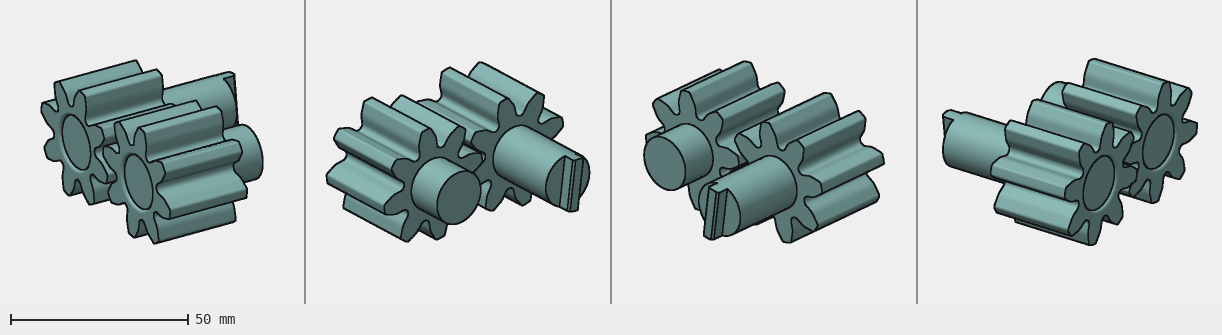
import cadquery as cq
import math

TEETH = 8
TOOTH_PITCH = 360 / TEETH
TIP_RADIUS = 18.0
ROOT_RADIUS = 10.9
BASE_HALF_THICKNESS = 3.2
SHOULDER_DISTANCE = 14.25
TIP_HALF_THICKNESS = 1.6
SHOULDER_ROUND = 4.45
TIP_ROUND = 0.85

GEAR_WIDTH = 25.6
SHAFT_RADIUS = 8.0
BORE_ROUND = 1.0
AXIS_SPACING_X = 31.0
AXIS_OFFSET_Z = 0.165
DRIVE_TOOTH_ANGLE = 76.6
IDLER_TOOTH_ANGLE = 81.4
IDLER_SETBACK = 1.4

DRIVE_SHAFT_END = 53.0
IDLER_SHAFT_END = 38.4
TANG_LENGTH = 4.0
TANG_THICKNESS = 4.0
TANG_CHAMFER = 0.6
TANG_TILT = 7.5

MATCH_TOLERANCE = 0.005

DRIVE_AXIS = (0, 0)
IDLER_AXIS = (AXIS_SPACING_X, AXIS_OFFSET_Z)


def plane_at(axis, y):
    """XZ workplane centred on a gear axis at depth y; negative extrusions run toward +Y."""
    return cq.Workplane("XZ", origin=(axis[0], y, axis[1]))


def turned(point, angle):
    """Point turned about the origin by an angle in degrees."""
    cosine = math.cos(math.radians(angle))
    sine = math.sin(math.radians(angle))
    return (point[0] * cosine - point[1] * sine, point[0] * sine + point[1] * cosine)


def mirrored(point):
    """Same point on the other side of the tooth."""
    return (point[0], -point[1])


def round_edges_at(body, axis, distance, radius):
    """Fillet the edges along Y that lie at a distance from a gear axis."""

    def lies_at_distance(edge):
        centre = edge.Center()
        edge_distance = math.hypot(centre.x - axis[0], centre.z - axis[1])
        return abs(edge_distance - distance) < MATCH_TOLERANCE

    return body.edges("|Y").filter(lies_at_distance).fillet(radius)


def toothed_blank(axis, front_y, tooth_angle):
    """Solid gear with the middle of one tooth at an angle in degrees from +X."""
    half_pitch = math.radians(TOOTH_PITCH / 2)
    root_arc_centre = (ROOT_RADIUS - BASE_HALF_THICKNESS) / (1 - math.sin(half_pitch))
    base = (root_arc_centre * math.cos(half_pitch), BASE_HALF_THICKNESS)
    shoulder = (SHOULDER_DISTANCE, BASE_HALF_THICKNESS)
    tip = (math.sqrt(TIP_RADIUS**2 - TIP_HALF_THICKNESS**2), TIP_HALF_THICKNESS)

    outline = plane_at(axis, front_y).moveTo(*turned(mirrored(base), tooth_angle))
    for tooth in range(TEETH):
        angle = tooth_angle + tooth * TOOTH_PITCH
        outline = (
            outline.lineTo(*turned(mirrored(shoulder), angle))
            .lineTo(*turned(mirrored(tip), angle))
            .threePointArc(turned((TIP_RADIUS, 0), angle), turned(tip, angle))
            .lineTo(*turned(shoulder, angle))
            .lineTo(*turned(base, angle))
            .threePointArc(
                turned((ROOT_RADIUS, 0), angle + TOOTH_PITCH / 2),
                turned(mirrored(base), angle + TOOTH_PITCH),
            )
        )
    blank = outline.close().extrude(-GEAR_WIDTH)
    blank = round_edges_at(blank, axis, math.hypot(*shoulder), SHOULDER_ROUND)
    return round_edges_at(blank, axis, TIP_RADIUS, TIP_ROUND)


def bore_cutter(axis, front_y):
    """Bore with a mouth that flares in a quarter round at the front of the gear."""
    mouth_radius = SHAFT_RADIUS + BORE_ROUND
    mid_arc = BORE_ROUND * (1 - math.sqrt(0.5))
    return (
        cq.Workplane("XY", origin=(axis[0], front_y, axis[1]))
        .lineTo(mouth_radius, 0)
        .threePointArc((SHAFT_RADIUS + mid_arc, mid_arc), (SHAFT_RADIUS, BORE_ROUND))
        .lineTo(SHAFT_RADIUS, GEAR_WIDTH)
        .lineTo(0, GEAR_WIDTH)
        .close()
        .revolve(360, (0, 0), (0, 1))
    )


def gear(axis, front_y, tooth_angle):
    """Spur gear with a through bore whose front rim is rounded over."""
    return toothed_blank(axis, front_y, tooth_angle).cut(bore_cutter(axis, front_y))


def shaft(axis, front_y, end_y):
    """Plain round shaft that starts where the rounded rim of its gear bore ends."""
    start_y = front_y + BORE_ROUND
    return plane_at(axis, start_y).circle(SHAFT_RADIUS).extrude(start_y - end_y)


def drive_shaft():
    """Shaft of the drive gear, ending in a flat tang with two chamfered edges."""
    tang_start = DRIVE_SHAFT_END - TANG_LENGTH
    body = shaft(DRIVE_AXIS, 0, tang_start)
    half_thickness = TANG_THICKNESS / 2
    slab = (
        cq.Workplane("XY", origin=(0, tang_start, -SHAFT_RADIUS))
        .moveTo(-half_thickness, 0)
        .lineTo(-half_thickness, TANG_LENGTH - TANG_CHAMFER)
        .lineTo(-half_thickness + TANG_CHAMFER, TANG_LENGTH)
        .lineTo(half_thickness - TANG_CHAMFER, TANG_LENGTH)
        .lineTo(half_thickness, TANG_LENGTH - TANG_CHAMFER)
        .lineTo(half_thickness, 0)
        .close()
        .extrude(2 * SHAFT_RADIUS)
        .rotate((0, 0, 0), (0, 1, 0), -TANG_TILT)
    )
    tang_round = plane_at(DRIVE_AXIS, tang_start).circle(SHAFT_RADIUS).extrude(-TANG_LENGTH)
    return body.union(slab.intersect(tang_round))


drive_gear = gear(DRIVE_AXIS, 0, DRIVE_TOOTH_ANGLE)
idler_gear = gear(IDLER_AXIS, IDLER_SETBACK, IDLER_TOOTH_ANGLE)
drive_gear_shaft = drive_shaft()
idler_gear_shaft = shaft(IDLER_AXIS, IDLER_SETBACK, IDLER_SHAFT_END)

result = cq.Compound.makeCompound(
    [drive_gear.val(), idler_gear.val(), drive_gear_shaft.val(), idler_gear_shaft.val()]
)